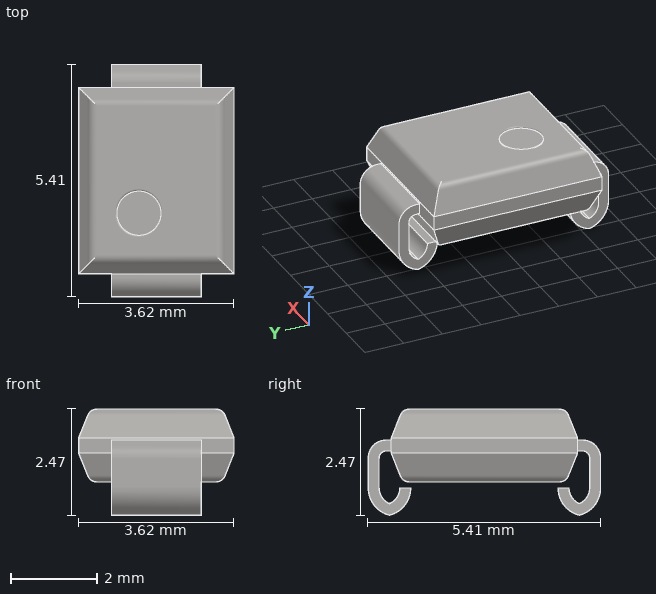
import cadquery as cq
import math

body_width = 3.62
body_length = 4.34
body_height = 1.7
belt_height = 0.355
draft_angle = 22
rim_radius = 0.23
drafted_height = (body_height - belt_height) / 2

mark_x = -0.405
mark_y = -0.76
mark_floor_radius = 0.515
mark_depth = 0.045

overall_length = 5.41
overall_height = 2.47
lead_width = 2.09
lead_thickness = 0.26
bend_radius = 0.42
hook_width = 0.995
hook_start_drop = 1.835

lead_outer_y = overall_length / 2
lead_inner_y = lead_outer_y - lead_thickness
body_end_y = body_length / 2
hook_start_z = body_height / 2 - hook_start_drop
hook_tip_z = body_height / 2 - overall_height
hook_center_y = lead_outer_y - hook_width / 2
hook_end_y = lead_outer_y - hook_width

hook_drop = hook_start_z - hook_tip_z
hook_radius = (hook_drop**2 + (hook_width / 2) ** 2) / hook_width
hook_inner_radius = hook_radius - lead_thickness
arc_center_offset = hook_radius - hook_width / 2


def make_half_shell(direction):
    """Drafted half of the body; direction is +1 for the upper and -1 for the lower half."""
    half = (
        cq.Workplane("XY")
        .workplane(offset=direction * belt_height / 2)
        .rect(body_width, body_length)
        .extrude(direction * drafted_height, taper=draft_angle)
    )
    rim_face = ">Z" if direction > 0 else "<Z"
    return half.faces(rim_face).edges().fillet(rim_radius)


def make_mark_cutter():
    """Disc with a flared side, which leaves the recess with its rounded rim."""
    top_radius = mark_floor_radius + mark_depth
    flare_inset = mark_depth * math.sqrt(0.5)
    return (
        cq.Workplane("XZ")
        .moveTo(0, -mark_depth)
        .lineTo(mark_floor_radius, -mark_depth)
        .threePointArc((top_radius - flare_inset, flare_inset - mark_depth), (top_radius, 0))
        .lineTo(0, 0)
        .close()
        .revolve(360, (0, 0), (0, 1))
        .translate((mark_x, mark_y, body_height / 2))
    )


def make_body():
    belt = cq.Workplane("XY").box(body_width, body_length, belt_height)
    body = belt.union(make_half_shell(1)).union(make_half_shell(-1))
    return body.cut(make_mark_cutter()).solids()


def hook_arc_middle(radius, side):
    """Middle (y, z) of the hook arc on one side: +1 outboard, -1 inboard."""
    tip_angle = math.acos(arc_center_offset / radius)
    reach = radius * math.cos(tip_angle / 2) - arc_center_offset
    drop = radius * math.sin(tip_angle / 2)
    return (hook_center_y + side * reach, hook_start_z - drop)


def make_lead(end):
    """Lead bent down and back under the body; end is +1 for the +Y lead, -1 for -Y."""
    top_z = lead_thickness / 2
    bend_center_y = lead_outer_y - bend_radius
    bend_center_z = top_z - bend_radius
    bend_inner_radius = bend_radius - lead_thickness
    diagonal = math.sqrt(0.5)
    inner_tip_z = hook_start_z - math.sqrt(hook_inner_radius**2 - arc_center_offset**2)

    def bend_middle(radius):
        return (bend_center_y + radius * diagonal, bend_center_z + radius * diagonal)

    profile = (
        cq.Workplane("YZ")
        .workplane(offset=-lead_width / 2)
        .moveTo(body_end_y, top_z)
        .lineTo(bend_center_y, top_z)
        .threePointArc(bend_middle(bend_radius), (lead_outer_y, bend_center_z))
        .lineTo(lead_outer_y, hook_start_z)
        .threePointArc(hook_arc_middle(hook_radius, 1), (hook_center_y, hook_tip_z))
        .threePointArc(hook_arc_middle(hook_radius, -1), (hook_end_y, hook_start_z))
        .lineTo(hook_end_y + lead_thickness, hook_start_z)
        .threePointArc(hook_arc_middle(hook_inner_radius, -1), (hook_center_y, inner_tip_z))
        .threePointArc(hook_arc_middle(hook_inner_radius, 1), (lead_inner_y, hook_start_z))
        .lineTo(lead_inner_y, bend_center_z)
        .threePointArc(bend_middle(bend_inner_radius), (bend_center_y, -top_z))
        .lineTo(body_end_y, -top_z)
        .close()
    )
    lead = profile.extrude(lead_width)
    return lead if end > 0 else lead.mirror("XZ")


body = make_body()
leads = [make_lead(end) for end in (-1, 1)]

result = cq.Compound.makeCompound([body.val(), *[lead.val() for lead in leads]])